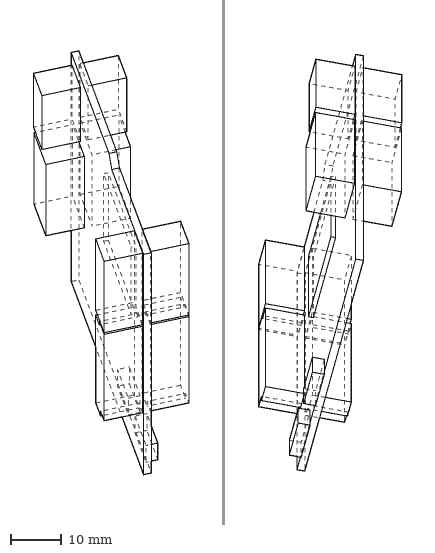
import cadquery as cq

BOARD_WIDTH = 53.4
BOARD_HEIGHT = 68.6
BOARD_THICKNESS = 1.6
CORNER_DROP = 2.65
SLOPE_START_X = 27.9
SLOPE_END_X = 29.9

TOTAL_DEPTH = 17.5
BLOCK_DEPTH = (TOTAL_DEPTH - BOARD_THICKNESS) / 2
BLOCK_TOP = BOARD_HEIGHT - 3.05
LONG_BLOCK_LENGTH = 21.35

UPPER_LEFT_X = 0.7
LOWER_LEFT_X = 1.0
UPPER_LEFT_LENGTH = 16.15
LOWER_LEFT_WIDTH = 8.8
BLOCK_WIDTH = 6.2
LEFT_BLOCK_GAP = 1.4
RIGHT_BLOCK_X = BOARD_WIDTH - UPPER_LEFT_X - BLOCK_WIDTH

STEPPED_GAP = 0.5
STEPPED_LENGTH = 25.9
TOP_STEP_WIDTH = 2.65
TOP_STEP_HEIGHT = 1.0
FOOT_WIDTH = 3.55
FOOT_HEIGHT = 1.4

SOCKET_DEPTH = 2.45
SOCKET_HEIGHT = 5.0
SOCKET_OVERHANG = 69.6 - BOARD_HEIGHT
SOCKETS = ((28.45, 7.9), (41.3, 8.15))

CHIP_X = 18.2
CHIP_SIZE = 20.25
CHIP_BOTTOM = 31.3
CHIP_DEPTH = 1.0


def prism(points, front, back):
    """Extrude an XZ outline between two Y positions."""
    return (
        cq.Workplane("XZ", origin=(0, back, 0))
        .polyline(points)
        .close()
        .extrude(back - front)
    )


def rectangle(left, bottom, width, height):
    """Corner points of an upright rectangle in XZ."""
    right = left + width
    top = bottom + height
    return [(left, bottom), (right, bottom), (right, top), (left, top)]


def stepped_outline():
    """Outline of the lower right block, with a notch at the top left and bottom right."""
    left = RIGHT_BLOCK_X
    right = left + BLOCK_WIDTH
    top = BLOCK_TOP - LONG_BLOCK_LENGTH - STEPPED_GAP
    bottom = top - STEPPED_LENGTH
    return [
        (left, bottom - FOOT_HEIGHT),
        (left + FOOT_WIDTH, bottom - FOOT_HEIGHT),
        (left + FOOT_WIDTH, bottom),
        (right, bottom),
        (right, top),
        (left + TOP_STEP_WIDTH, top),
        (left + TOP_STEP_WIDTH, top - TOP_STEP_HEIGHT),
        (left, top - TOP_STEP_HEIGHT),
    ]


board_outline = [
    (0, 0),
    (BOARD_WIDTH, 0),
    (BOARD_WIDTH, BOARD_HEIGHT - CORNER_DROP),
    (SLOPE_END_X, BOARD_HEIGHT - CORNER_DROP),
    (SLOPE_START_X, BOARD_HEIGHT),
    (0, BOARD_HEIGHT),
]
result = prism(board_outline, 0, BOARD_THICKNESS)

upper_left_bottom = BLOCK_TOP - UPPER_LEFT_LENGTH
lower_left_bottom = upper_left_bottom - LEFT_BLOCK_GAP - LONG_BLOCK_LENGTH
upper_right_bottom = BLOCK_TOP - LONG_BLOCK_LENGTH
block_outlines = [
    rectangle(UPPER_LEFT_X, upper_left_bottom, BLOCK_WIDTH, UPPER_LEFT_LENGTH),
    rectangle(LOWER_LEFT_X, lower_left_bottom, LOWER_LEFT_WIDTH, LONG_BLOCK_LENGTH),
    rectangle(RIGHT_BLOCK_X, upper_right_bottom, BLOCK_WIDTH, LONG_BLOCK_LENGTH),
    stepped_outline(),
]
for outline in block_outlines:
    result = result.union(prism(outline, -BLOCK_DEPTH, BOARD_THICKNESS + BLOCK_DEPTH))

for socket_x, socket_width in SOCKETS:
    outline = rectangle(socket_x, -SOCKET_OVERHANG, socket_width, SOCKET_HEIGHT)
    result = result.union(prism(outline, BOARD_THICKNESS, BOARD_THICKNESS + SOCKET_DEPTH))

chip_outline = rectangle(CHIP_X, CHIP_BOTTOM, CHIP_SIZE, CHIP_SIZE)
result = result.union(prism(chip_outline, BOARD_THICKNESS, BOARD_THICKNESS + CHIP_DEPTH))